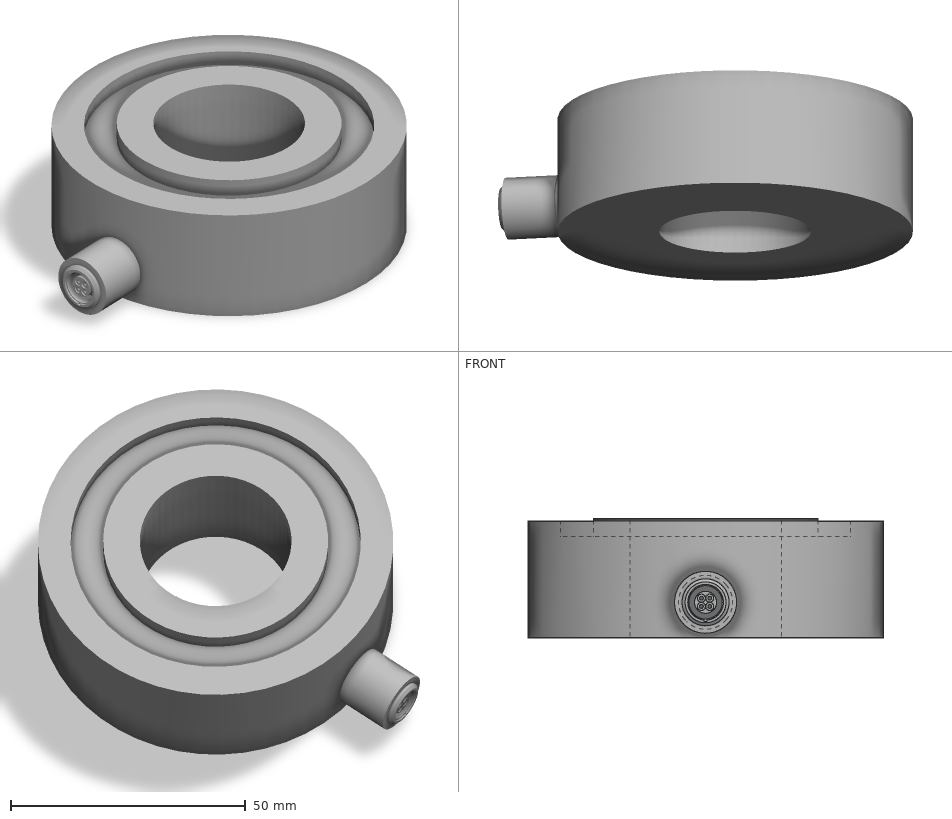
import cadquery as cq

ring_diameter = 75.69
hub_height = 25.4
rim_drop = 0.5
rim_height = hub_height - rim_drop
groove_floor = 21.6
groove_outer_diameter = 61.8
hub_diameter = 47.9
bore_diameter = 32.3

overall_length = 88.39
ring_radius = ring_diameter / 2
connector_tip = overall_length - ring_radius
connector_height = 7.6
shell_diameter = 13.2
shell_gap = 0.1
shell_start = ring_radius + shell_gap
neck_diameter = 11.5
neck_embedment = 2.0
neck_root = ring_radius - neck_embedment
collar_diameter = 10.0
collar_length = 1.15
collar_chamfer_length = 0.6
collar_chamfer_width = 0.65
shell_end = connector_tip - collar_length

socket_diameter = 7.1
socket_depth = 4.0
socket_floor = connector_tip - socket_depth
lip_diameter = 7.6
lip_depth = 0.4
key_slot_width = 0.6
key_slot_reach = 4.1

insert_diameter = 4.7
insert_setback = 0.8
insert_face = connector_tip - insert_setback
contact_count = 4
contact_circle_radius = 1.25
contact_counterbore_diameter = 1.7
contact_counterbore_depth = 0.3
contact_hole_diameter = 0.8
contact_hole_depth = 1.5


def disc(diameter, bottom, top):
    """Cylinder about the ring axis."""
    return cq.Workplane("XY").workplane(offset=bottom).circle(diameter / 2).extrude(top - bottom)


def connector_disc(diameter, start, end):
    """Cylinder about the connector axis, between two distances from the ring axis."""
    plane = cq.Workplane("XZ", origin=(0, -start, connector_height))
    return plane.circle(diameter / 2).extrude(end - start)


def make_ring():
    """Ring with a raised hub, a groove around the hub and a through bore."""
    ring = disc(ring_diameter, 0, rim_height)
    ring = ring.cut(disc(groove_outer_diameter, groove_floor, rim_height))
    ring = ring.union(disc(hub_diameter, 0, hub_height))
    return ring.cut(disc(bore_diameter, 0, hub_height))


def make_connector_body():
    """Neck, shell and chamfered collar."""
    neck = connector_disc(neck_diameter, neck_root, shell_start)
    shell = connector_disc(shell_diameter, shell_start, shell_end)
    collar = connector_disc(collar_diameter, shell_end, connector_tip)
    collar = collar.faces("<Y").chamfer(collar_chamfer_length, collar_chamfer_width)
    return neck.union(shell).union(collar)


def contact_discs(diameter, start, end):
    """One cylinder on each contact axis, placed diagonally about the connector axis."""
    plane = cq.Workplane("XZ", origin=(0, -start, connector_height))
    first_angle = 180 / contact_count
    contacts = plane.polarArray(contact_circle_radius, first_angle, 360, contact_count)
    return contacts.circle(diameter / 2).extrude(end - start)


def make_socket():
    """Hollow of the connector, with a wider step and a key slot below at its mouth."""
    socket = connector_disc(socket_diameter, socket_floor, connector_tip)
    lip = connector_disc(lip_diameter, connector_tip - lip_depth, connector_tip)
    plane = cq.Workplane("XZ", origin=(0, lip_depth - connector_tip, connector_height))
    key_slot = plane.center(0, -key_slot_reach / 2).rect(key_slot_width, key_slot_reach).extrude(lip_depth)
    return socket.union(lip).union(key_slot)


def make_insert():
    """Contact insert: a plain pin with a counterbored hole for each contact."""
    insert = connector_disc(insert_diameter, socket_floor, insert_face)
    counterbore_floor = insert_face - contact_counterbore_depth
    insert = insert.cut(contact_discs(contact_counterbore_diameter, counterbore_floor, insert_face))
    return insert.cut(contact_discs(contact_hole_diameter, insert_face - contact_hole_depth, insert_face))


connector = make_connector_body().cut(make_socket())
result = make_ring().union(connector).union(make_insert())